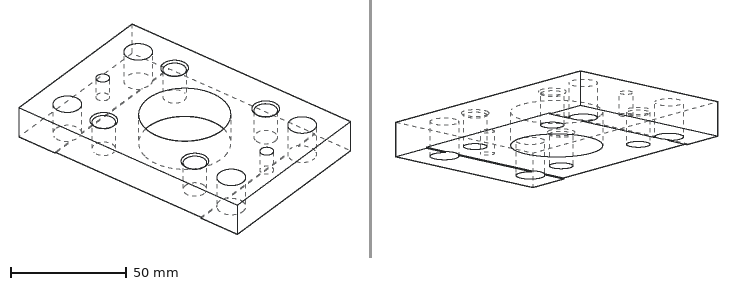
import cadquery as cq

length = 120.0
width = 80.0
thickness = 15.5

relief_length = width
relief_depth = 0.5

bore_diameter = 40.0
hole_row_spacing = 50.0
outer_hole_spacing = 90.0
outer_hole_diameter = 12.5
tapped_hole_spacing = hole_row_spacing
tapped_hole_diameter = 10.2
countersink_diameter = 12.0
countersink_angle = 90

dowel_diameter = 6.0
dowel_depth = 10.0


def make_plate():
    """Flat plate standing on Z = 0, relieved across the full width underneath."""
    plate = cq.Workplane("XY").box(length, width, thickness, centered=(True, True, False))
    relief = cq.Workplane("XY").box(relief_length, width, relief_depth, centered=(True, True, False))
    return plate.cut(relief)


def top_plane(plate):
    """Sketch plane on the top face, centred on the plate."""
    return plate.faces(">Z").workplane(origin=(0, 0, thickness))


plate = make_plate()

plate = top_plane(plate).hole(bore_diameter)

plate = top_plane(plate).rarray(outer_hole_spacing, hole_row_spacing, 2, 2).hole(outer_hole_diameter)

tapped_holes = top_plane(plate).rarray(tapped_hole_spacing, hole_row_spacing, 2, 2)
plate = tapped_holes.cskHole(tapped_hole_diameter, countersink_diameter, countersink_angle)

plate = top_plane(plate).rarray(outer_hole_spacing, 1.2, 2, 1).hole(dowel_diameter, dowel_depth)

result = plate